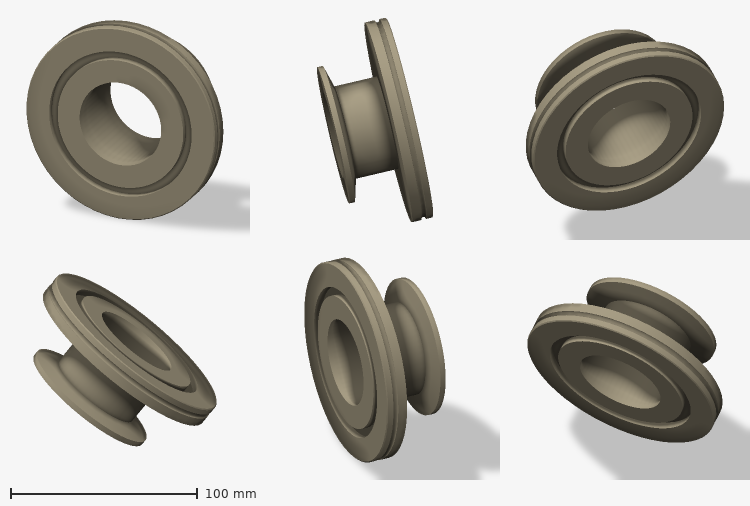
import cadquery as cq

total_length = 42.0
bore_diameter = 47.5
tube_diameter = 50.8

flange_diameter = 110.0
flange_thickness = 12.2
front_edge_chamfer = 0.5
back_taper_inner_diameter = 93.0
back_taper_height = 0.5

rim_groove_radius = 1.4
rim_groove_offset = 5.1

recess_inner_diameter = 73.2
recess_outer_diameter = 83.0
recess_depth = 4.0

rear_flange_diameter = 75.0
rear_rim_width = 3.1
rear_cone_length = 3.4


def turned_body():
    """Revolve the outline of both flanges and the hollow tube about Y."""
    bore_radius = bore_diameter / 2
    tube_radius = tube_diameter / 2
    flange_radius = flange_diameter / 2
    rear_radius = rear_flange_diameter / 2
    rim_back = flange_thickness - back_taper_height
    rear_rim_start = total_length - rear_rim_width
    rear_cone_start = rear_rim_start - rear_cone_length
    return (
        cq.Workplane("XY")
        .moveTo(bore_radius, 0)
        .lineTo(flange_radius - front_edge_chamfer, 0)
        .lineTo(flange_radius, front_edge_chamfer)
        .lineTo(flange_radius, rim_groove_offset - rim_groove_radius)
        .threePointArc(
            (flange_radius - rim_groove_radius, rim_groove_offset),
            (flange_radius, rim_groove_offset + rim_groove_radius),
        )
        .lineTo(flange_radius, rim_back)
        .lineTo(back_taper_inner_diameter / 2, flange_thickness)
        .lineTo(tube_radius, flange_thickness)
        .lineTo(tube_radius, rear_cone_start)
        .lineTo(rear_radius, rear_rim_start)
        .lineTo(rear_radius, total_length)
        .lineTo(bore_radius, total_length)
        .close()
        .revolve(360, (0, 0, 0), (0, 1, 0))
    )


def face_recess():
    """Ring cut into the front face; the XZ workplane faces -Y."""
    return (
        cq.Workplane("XZ")
        .circle(recess_outer_diameter / 2)
        .circle(recess_inner_diameter / 2)
        .extrude(-recess_depth)
    )


result = turned_body().cut(face_recess())